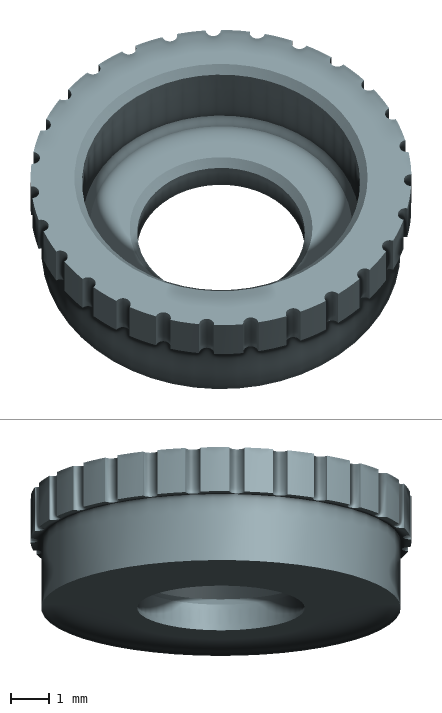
import cadquery as cq

rim_radius = 5.0
body_radius = 4.72
total_height = 3.0
rim_height = 1.2
body_height = total_height - rim_height

bore_radius = 3.65
hole_radius = 2.2
floor_height = 0.9
chamfer = 0.2

groove_count = 27
groove_radius = 0.2
first_groove_angle = 180.0


def stepped_ring():
    """Revolved ring: body, wider rim, and chamfered two-step bore."""
    profile = [
        (hole_radius, 0),
        (body_radius, 0),
        (body_radius, body_height),
        (rim_radius, body_height),
        (rim_radius, total_height),
        (bore_radius + chamfer, total_height),
        (bore_radius, total_height - chamfer),
        (bore_radius, floor_height + chamfer),
        (bore_radius - chamfer, floor_height),
        (hole_radius + chamfer, floor_height),
        (hole_radius, floor_height - chamfer),
    ]
    return cq.Workplane("XZ").polyline(profile).close().revolve(360, (0, 0, 0), (0, 1, 0))


def grip_grooves():
    """Round cutters centred on the rim edge, over the rim height only."""
    return (
        cq.Workplane("XY", origin=(0, 0, body_height))
        .polarArray(rim_radius, first_groove_angle, 360, groove_count)
        .circle(groove_radius)
        .extrude(rim_height)
    )


result = stepped_ring().cut(grip_grooves())